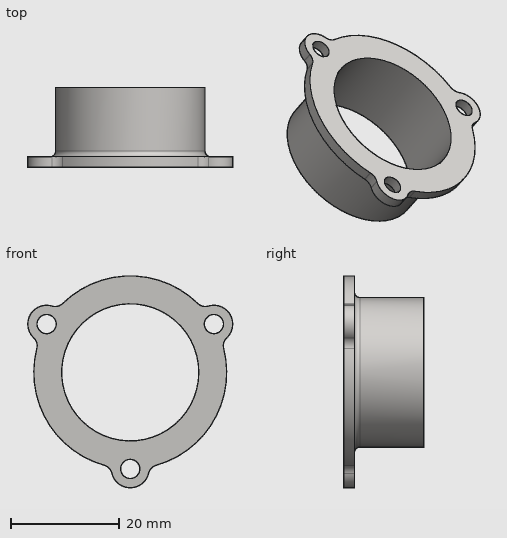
import cadquery as cq
import math

bore_diameter = 25.3
tube_diameter = 27.7
total_length = 14.8
tube_root_fillet = 1.0

flange_diameter = 35.7
flange_thickness = 2.0

ear_count = 3
first_ear_angle = -90.0
ear_radius = 3.5
ear_circle_radius = flange_diameter / 2
ear_blend_radius = 2.0
screw_hole_diameter = 3.5


def ear_centres():
    """(X, Z) centres of the screw ears, evenly spaced with one straight below the bore."""
    angles = [math.radians(first_ear_angle + i * 360 / ear_count) for i in range(ear_count)]
    return [(ear_circle_radius * math.cos(a), ear_circle_radius * math.sin(a)) for a in angles]


def cylinders(diameter, length, centres):
    """Equal cylinders from Y = 0 towards +Y, at the given (X, Z) centres."""
    return cq.Workplane("XZ").pushPoints(centres).circle(diameter / 2).extrude(-length)


def make_flange():
    """Round plate with three ears blended into its rim."""
    flange = cylinders(flange_diameter, flange_thickness, [(0, 0)])
    flange = flange.union(cylinders(2 * ear_radius, flange_thickness, ear_centres()))
    return flange.edges("|Y").fillet(ear_blend_radius)


def make_part():
    tube = cylinders(tube_diameter, total_length, [(0, 0)])
    body = make_flange().union(tube)
    tube_root = cq.selectors.NearestToPointSelector((0, flange_thickness, 0))
    body = body.edges(tube_root).fillet(tube_root_fillet)
    body = body.cut(cylinders(bore_diameter, total_length, [(0, 0)]))
    return body.cut(cylinders(screw_hole_diameter, flange_thickness, ear_centres()))


result = make_part()